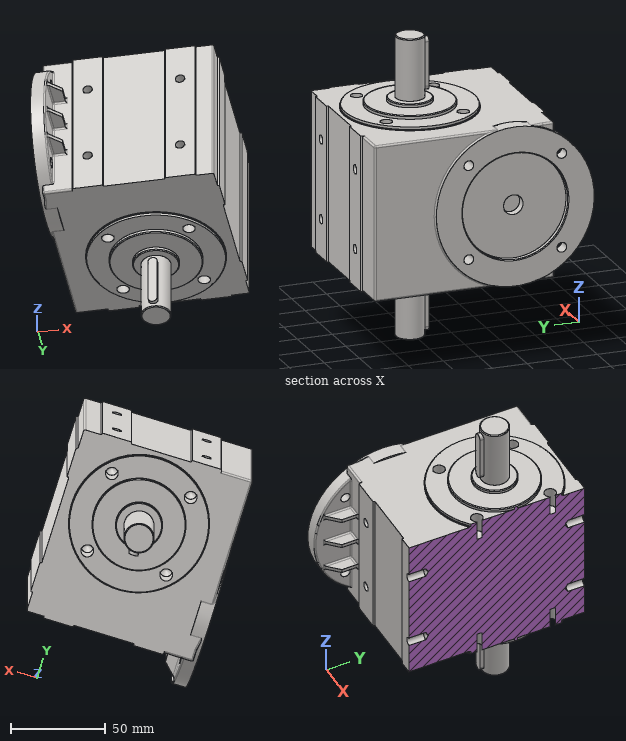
import cadquery as cq
import math

OVERALL_LENGTH = 170.0

HOUSING_LEFT = 51.0
HOUSING_RIGHT = 43.0
HOUSING_BACK = 40.0
HOUSING_FRONT = 63.0
HOUSING_HEIGHT = 88.0
EDGE_RADIUS = 1.0

RELIEF_START = 49.3
RELIEF_END = 56.6
RELIEF_DEPTH = 1.4

PAD_WIDTH = 16.0
PAD_RISE = 1.0
PAD_FLARE = 0.5
SIDE_PAD_PITCH = 50.0
END_PAD_PITCH = 65.0
PAD_HOLE_DIAMETER = 5.0
PAD_HOLE_DEPTH = 10.0
PAD_HOLE_PITCH_Z = 45.0

FLANGE_FACE = 52.0
FLANGE_AXIS_Y = -40.0
FLANGE_DIAMETER = 90.1
FLANGE_THICKNESS = 8.0
FLANGE_BLEND = 0.8
PILOT_DIAMETER = 60.0
PILOT_DEPTH = 3.0
PILOT_EDGE = 0.5
INPUT_BORE_DIAMETER = 11.0
INPUT_BORE_DEPTH = FLANGE_THICKNESS
FLANGE_HOLE_DIAMETER = 5.5
FLANGE_HOLE_PITCH = 53.0
FLANGE_HOLE_DEPTH = 15.0

RIB_COUNT = 3
RIB_PITCH = 17.7
RIB_THICKNESS = 2.0
RIB_WIDTH = 7.0
RIB_TIP_REACH = 9.2
RIB_ROOT_REACH = 16.2

CAP_STEPS = ((74.0, 92.0), (50.0, 96.0), (25.0, 100.0))
CAP_EDGE = 0.5
CAP_HOLE_DIAMETER = 6.6
CAP_HOLE_DEPTH = 12.0
CAP_HOLE_PITCH = 43.9

SHAFT_DIAMETER = 16.0
SHAFT_CHAMFER = 0.5
KEY_WIDTH = 5.0
KEY_LENGTH = 30.0
KEY_TOP = 10.0
KEY_HEIGHT = 5.0
KEY_CENTRE_Z = 68.0

DRILL_POINT_ANGLE = 118.0


def cylinder(diameter, length, start, direction):
    """Cylinder that begins at a point and runs along a direction."""
    solid = cq.Solid.makeCylinder(diameter / 2, length, cq.Vector(*start), cq.Vector(*direction))
    return cq.Workplane(solid)


def drilled_hole(diameter, depth, start, direction):
    """Blind hole with a conical drill point."""
    point_depth = diameter / 2 / math.tan(math.radians(DRILL_POINT_ANGLE / 2))
    origin = cq.Vector(*start)
    axis = cq.Vector(*direction)
    point = cq.Solid.makeCone(diameter / 2, 0, point_depth, origin + axis * depth, axis)
    return cylinder(diameter, depth, start, direction).union(cq.Workplane(point))


def prism(outline):
    """Full-height block with the given outline."""
    return cq.Workplane("XY").polyline(outline).close().extrude(HOUSING_HEIGHT / 2, both=True)


def housing():
    """Left part with rounded edges and a relieved front corner, joined to a plain right part."""
    relieved_left = -HOUSING_LEFT + RELIEF_DEPTH
    split = -SIDE_PAD_PITCH / 2
    left_part = prism(
        [
            (split, HOUSING_BACK),
            (split, -HOUSING_FRONT),
            (relieved_left, -HOUSING_FRONT),
            (relieved_left, -RELIEF_END),
            (-HOUSING_LEFT, -RELIEF_START),
            (-HOUSING_LEFT, HOUSING_BACK),
        ]
    )
    left_part = left_part.edges("|Z and (<Y or >Y)").edges("not >X").fillet(EDGE_RADIUS)
    left_part = left_part.faces("<Z or >Z").edges("not (>X or >Y)").fillet(EDGE_RADIUS)

    right_part = prism(
        [
            (split, HOUSING_BACK),
            (split, -HOUSING_FRONT),
            (HOUSING_RIGHT, -HOUSING_FRONT),
            (HOUSING_RIGHT, HOUSING_BACK),
        ]
    )
    right_part = right_part.edges("|Z and >X").fillet(EDGE_RADIUS)
    return left_part.union(right_part)


def pad(face_distance, sideways):
    """Full-height pad rising in +X at a distance from the shaft axis, its sides flared at the root."""
    root = PAD_WIDTH / 2 + PAD_FLARE
    top = PAD_WIDTH / 2
    sunk_face = face_distance - PAD_RISE
    return prism(
        [
            (sunk_face, sideways - root),
            (face_distance, sideways - root),
            (face_distance + PAD_RISE, sideways - top),
            (face_distance + PAD_RISE, sideways + top),
            (face_distance, sideways + root),
            (sunk_face, sideways + root),
        ]
    )


def pads():
    """Two pads on each of the front, back and right faces."""
    middle_y = (HOUSING_BACK - HOUSING_FRONT) / 2
    solid = cq.Workplane("XY")
    for side in (-1, 1):
        solid = solid.union(pad(HOUSING_RIGHT, middle_y + side * END_PAD_PITCH / 2))
        for distance, turn in ((HOUSING_FRONT, -90), (HOUSING_BACK, 90)):
            side_pad = pad(distance, side * SIDE_PAD_PITCH / 2)
            solid = solid.union(side_pad.rotate((0, 0, 0), (0, 0, 1), turn))
    return solid


def pad_holes():
    """Four blind holes in the front pads and the same in the back pads."""
    holes = cq.Workplane("XY")
    for x in (-SIDE_PAD_PITCH / 2, SIDE_PAD_PITCH / 2):
        for z in (-PAD_HOLE_PITCH_Z / 2, PAD_HOLE_PITCH_Z / 2):
            front = (x, -HOUSING_FRONT - PAD_RISE, z)
            back = (x, HOUSING_BACK + PAD_RISE, z)
            holes = holes.union(drilled_hole(PAD_HOLE_DIAMETER, PAD_HOLE_DEPTH, front, (0, 1, 0)))
            holes = holes.union(drilled_hole(PAD_HOLE_DIAMETER, PAD_HOLE_DEPTH, back, (0, -1, 0)))
    return holes


def flange():
    """Disc sunk into the left face of the housing."""
    return cylinder(FLANGE_DIAMETER, FLANGE_THICKNESS, (-FLANGE_FACE, FLANGE_AXIS_Y, 0), (1, 0, 0))


def ribs():
    """Ribs that tie the back of the flange to the front face."""
    root_x = -FLANGE_FACE + FLANGE_THICKNESS
    tip_x = root_x + RIB_WIDTH
    outline = [
        (root_x, -HOUSING_FRONT),
        (root_x, -HOUSING_FRONT - RIB_ROOT_REACH),
        (tip_x, -HOUSING_FRONT - RIB_TIP_REACH),
        (tip_x, -HOUSING_FRONT),
    ]
    rib = cq.Workplane("XY").polyline(outline).close().extrude(RIB_THICKNESS / 2, both=True)
    solid = cq.Workplane("XY")
    for index in range(RIB_COUNT):
        z = (index - (RIB_COUNT - 1) / 2) * RIB_PITCH
        solid = solid.union(rib.translate((0, 0, z)))
    return solid


def flanged_housing():
    """Housing with the flange and ribs, blended where they meet."""
    solid = housing().union(flange()).union(ribs())
    back_x = -FLANGE_FACE + FLANGE_THICKNESS
    margin = 0.2
    rim_on_left_face = cq.selectors.BoxSelector(
        (-HOUSING_LEFT - margin, FLANGE_AXIS_Y, -HOUSING_HEIGHT / 2),
        (-HOUSING_LEFT + margin, HOUSING_BACK, HOUSING_HEIGHT / 2),
    )
    feet_on_front_face = cq.selectors.BoxSelector(
        (back_x - margin, -HOUSING_FRONT - margin, -HOUSING_HEIGHT / 2),
        (back_x + RIB_WIDTH + margin, -HOUSING_FRONT + margin, HOUSING_HEIGHT / 2),
    )
    rib_roots = cq.selectors.BoxSelector(
        (back_x - margin, -HOUSING_FRONT - RIB_ROOT_REACH - margin, -HOUSING_HEIGHT / 2),
        (back_x + margin, -HOUSING_FRONT, HOUSING_HEIGHT / 2),
    )
    solid = solid.edges(feet_on_front_face + rib_roots).fillet(FLANGE_BLEND)
    return solid.edges("%CIRCLE").edges(rim_on_left_face).fillet(FLANGE_BLEND)


def flange_openings():
    """Pilot recess with a bevelled rim, input bore and four bolt holes."""
    axis = (1, 0, 0)
    centre = (-FLANGE_FACE, FLANGE_AXIS_Y, 0)
    cuts = cylinder(PILOT_DIAMETER, PILOT_DEPTH, centre, axis)
    pilot_radius = PILOT_DIAMETER / 2
    lead_in = cq.Solid.makeCone(
        pilot_radius + PILOT_EDGE, pilot_radius, PILOT_EDGE, cq.Vector(*centre), cq.Vector(*axis)
    )
    cuts = cuts.union(cq.Workplane(lead_in))
    cuts = cuts.union(cylinder(INPUT_BORE_DIAMETER, INPUT_BORE_DEPTH, centre, axis))
    for y in (FLANGE_AXIS_Y - FLANGE_HOLE_PITCH / 2, FLANGE_AXIS_Y + FLANGE_HOLE_PITCH / 2):
        for z in (-FLANGE_HOLE_PITCH / 2, FLANGE_HOLE_PITCH / 2):
            start = (-FLANGE_FACE, y, z)
            cuts = cuts.union(drilled_hole(FLANGE_HOLE_DIAMETER, FLANGE_HOLE_DEPTH, start, axis))
    return cuts


def bearing_caps():
    """Concentric steps on both ends, the lowest with a thin foot and the upper steps chamfered."""
    base_diameter, base_height = CAP_STEPS[0]
    solid = cylinder(base_diameter, base_height, (0, 0, -base_height / 2), (0, 0, 1))
    foot_height = HOUSING_HEIGHT + 2 * CAP_EDGE
    foot = cylinder(base_diameter + 2 * CAP_EDGE, foot_height, (0, 0, -foot_height / 2), (0, 0, 1))
    solid = solid.union(foot)
    for diameter, height in CAP_STEPS[1:]:
        step = cylinder(diameter, height, (0, 0, -height / 2), (0, 0, 1))
        solid = solid.union(step.faces("<Z or >Z").chamfer(CAP_EDGE))
    return solid


def cap_holes():
    """Four blind holes in each bearing cap."""
    cap_face = CAP_STEPS[0][1] / 2
    holes = cq.Workplane("XY")
    for x in (-CAP_HOLE_PITCH / 2, CAP_HOLE_PITCH / 2):
        for y in (-CAP_HOLE_PITCH / 2, CAP_HOLE_PITCH / 2):
            for end in (-1, 1):
                start = (x, y, end * cap_face)
                holes = holes.union(drilled_hole(CAP_HOLE_DIAMETER, CAP_HOLE_DEPTH, start, (0, 0, -end)))
    return holes


def shaft():
    """Chamfered output shaft with a round-ended key on the front of each end."""
    solid = cylinder(SHAFT_DIAMETER, OVERALL_LENGTH, (0, 0, -OVERALL_LENGTH / 2), (0, 0, 1))
    solid = solid.faces("<Z or >Z").chamfer(SHAFT_CHAMFER)
    key = cq.Workplane("XZ", origin=(0, -KEY_TOP, 0)).slot2D(KEY_LENGTH, KEY_WIDTH, 90).extrude(-KEY_HEIGHT)
    for end in (-1, 1):
        solid = solid.union(key.translate((0, 0, end * KEY_CENTRE_Z)))
    return solid


result = flanged_housing().union(pads()).union(bearing_caps()).union(shaft())
result = result.cut(pad_holes()).cut(flange_openings()).cut(cap_holes())